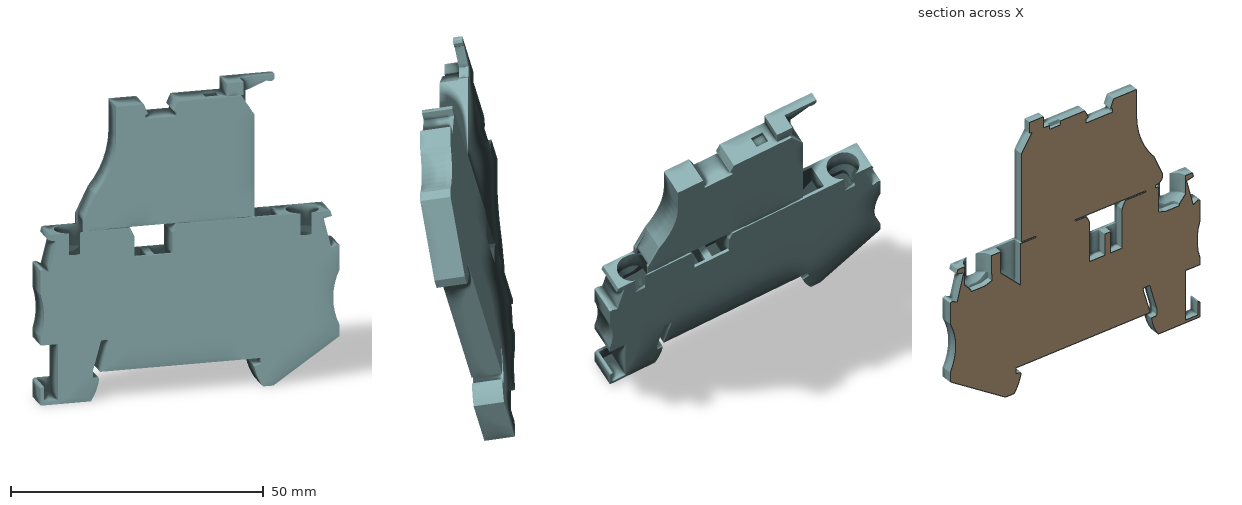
import cadquery as cq
HEIGHT = 63.4
HALF_LENGTH = 30.75
BODY_THICKNESS = 6.15
BODY_HALF = BODY_THICKNESS / 2
BODY_TOP = 35.3

LIP_Y = 29.15
LIP_TOP_Y = 28.85
RAIL_SEAT_Z = 5.95
SPRING_SLOT_TOP = 12.5
FOOT_TOP = 3.9
FOOT_LIP = 0.65
FOOT_BACK_Y = -27.2
FOOT_POCKET_DEPTH = 3.2
NOTCH_FRONT_Y = -11.5
NOTCH_BACK_Y = -3.6
NOTCH_FLOOR = 29.3
NOTCH_FLARE = 0.8
NOTCH_FLARE_Z = 33.5

POCKET_WALL = 0.6
POCKET_X_MIN = -BODY_HALF + POCKET_WALL
POCKET_X_MAX = BODY_HALF - POCKET_WALL
NOTCH_POCKET_DEPTH = 5.1
NOTCH_BACK_POCKET_LENGTH = 3.6
NOTCH_BRIDGE = 1.5
BACK_POCKET_Y_MIN = 13.5
BACK_POCKET_Y_MAX = 18.25
BACK_POCKET_WALL_DEPTH = 5.1

FUNNEL_Y = 23.8
FUNNEL_X = 0.25
FUNNEL_RADIUS = 2.9
FUNNEL_LENGTH = 6.6
FUNNEL_STRAIGHT = 4.45
FUNNEL_TAPER = 1.8
FUNNEL_TAPER_ANGLE = 40
THROAT_X_MIN = -1.85
THROAT_X_MAX = 1.9
THROAT_HALF_LENGTH = 1.7
THROAT_DEPTH = 6.6
THROAT_CORNER = 1.15
RAMP_RISE = 0.6
RAMP_RUN = 1.6

PLUG_X_MIN = -2.85
PLUG_X_MAX = 2.85
PLUG_TOP = 60.7
PLUG_BACK_Y = 13.25
PLUG_FRONT_Y = -22.0
PLUG_GAP = 0.2
BAR_X_MAX = 2.3
BAR_FRONT_Y = 7.75
BAR_BACK_Y = 11.2
FINGER_X_MAX = -0.95
FINGER_TIP_Y = 18.5
BACK_SLOPE_TOP_Y = 10.65
BACK_SLOPE_BOTTOM_Z = 56.65
BROW_Y = -19.4
BROW_Z = 42.9
CHEEK_Z = 37.6

RECESS_X_MIN = -2.0
RECESS_X_MAX = 2.3
NOSE_Y = -21.4
NOSE_Z = 38.15
NOSE_END_Y = -19.8
NOSE_END_Z = 35.9
CHEEK_CHAMFER = 0.25

WINDOW_X_MIN = -1.0
WINDOW_X_MAX = 1.25
WINDOW_Y_MIN = 3.6
WINDOW_Y_MAX = 6.3
WINDOW_DEPTH = 0.95


def box(x_min, x_max, y_min, y_max, z_min, z_max):
    """Axis-aligned block between the given limits."""
    size = (x_max - x_min, y_max - y_min, z_max - z_min)
    return cq.Workplane("XY").box(*size, centered=False).translate((x_min, y_min, z_min))


def side_sketch(x_min):
    """Sketch plane with local axes Y and Z that extrudes towards +X from x_min."""
    return cq.Workplane("YZ", origin=(x_min, 0, 0))


def side_prism(points, x_min, x_max):
    """Prism of a straight-sided Y-Z outline between two X positions."""
    return side_sketch(x_min).polyline(points).close().extrude(x_max - x_min)


def make_body():
    """Terminal body with its rail foot, marker grooves and bridge notch."""
    outline = (
        side_sketch(-BODY_HALF)
        .moveTo(NOTCH_BACK_Y + NOTCH_FLARE, BODY_TOP)
        .lineTo(LIP_TOP_Y, BODY_TOP)
        .lineTo(LIP_Y, 34.2)
        .lineTo(27.45, 33.85)
        .lineTo(29.0, 27.65)
        .lineTo(30.2, 28.2)
        .lineTo(HALF_LENGTH, 28.0)
        .lineTo(HALF_LENGTH, 23.0)
        .threePointArc((29.4, 17.2), (HALF_LENGTH, 11.4))
        .lineTo(HALF_LENGTH, 9.1)
        .lineTo(17.1, 0)
        .lineTo(14.95, 0)
        .threePointArc((13.75, 2.3), (13.2, 4.3))
        .lineTo(14.5, 4.75)
        .lineTo(14.5, RAIL_SEAT_Z)
        .lineTo(-18.5, RAIL_SEAT_Z)
        .lineTo(-16.75, 12.2)
        .lineTo(-17.0, SPRING_SLOT_TOP)
        .lineTo(-18.3, SPRING_SLOT_TOP)
        .lineTo(-20.0, 6.2)
        .lineTo(-20.0, 4.9)
        .lineTo(-19.8, 4.6)
        .lineTo(-18.7, 4.6)
        .threePointArc((-19.25, 2.3), (-20.4, 0))
        .lineTo(-HALF_LENGTH, 0)
        .lineTo(-HALF_LENGTH, FOOT_TOP - FOOT_LIP)
        .radiusArc((-HALF_LENGTH + FOOT_LIP, FOOT_TOP), FOOT_LIP)
        .lineTo(FOOT_BACK_Y, FOOT_TOP)
        .lineTo(FOOT_BACK_Y, SPRING_SLOT_TOP)
        .lineTo(-HALF_LENGTH, SPRING_SLOT_TOP)
        .lineTo(-HALF_LENGTH, 14.15)
        .threePointArc((-30.05, 18.6), (-HALF_LENGTH, 23.0))
        .lineTo(-HALF_LENGTH, 28.0)
        .lineTo(-30.2, 28.2)
        .lineTo(-29.0, 27.65)
        .lineTo(-27.45, 33.85)
        .lineTo(-LIP_Y, 34.2)
        .lineTo(-LIP_TOP_Y, BODY_TOP)
        .lineTo(NOTCH_FRONT_Y - NOTCH_FLARE, BODY_TOP)
        .lineTo(NOTCH_FRONT_Y, NOTCH_FLARE_Z)
        .lineTo(NOTCH_FRONT_Y, NOTCH_FLOOR)
        .lineTo(NOTCH_BACK_Y, NOTCH_FLOOR)
        .lineTo(NOTCH_BACK_Y, NOTCH_FLARE_Z)
        .close()
    )
    return outline.extrude(BODY_THICKNESS)


def make_funnel():
    """Cutter for the oblong funnel at the back end; its throat has a ramp on the inner side."""
    taper_top = BODY_TOP - FUNNEL_STRAIGHT
    mouth = cq.Sketch().slot(FUNNEL_LENGTH - 2 * FUNNEL_RADIUS, 2 * FUNNEL_RADIUS, 90)
    base = cq.Workplane("XY", origin=(FUNNEL_X, FUNNEL_Y, taper_top)).placeSketch(mouth)
    straight = base.extrude(FUNNEL_STRAIGHT)
    tapered = base.extrude(-FUNNEL_TAPER, taper=FUNNEL_TAPER_ANGLE)
    funnel = straight.union(tapered)

    floor = BODY_TOP - THROAT_DEPTH
    inner_y = FUNNEL_Y - THROAT_HALF_LENGTH
    outer_y = FUNNEL_Y + THROAT_HALF_LENGTH
    throat = box(THROAT_X_MIN, THROAT_X_MAX, inner_y, outer_y, floor, taper_top)
    throat = throat.edges("|Z and >Y").fillet(THROAT_CORNER)
    ramp = [
        (inner_y, floor),
        (inner_y - RAMP_RUN, floor + RAMP_RISE),
        (inner_y - RAMP_RUN, taper_top),
        (inner_y, taper_top),
    ]
    return funnel.union(throat).union(side_prism(ramp, THROAT_X_MIN, THROAT_X_MAX))


def make_back_pocket():
    """Cutter for the pocket behind the plug; a 45 degree ramp closes its bottom."""
    ramp_top = BODY_TOP - BACK_POCKET_WALL_DEPTH
    ramp_drop = BACK_POCKET_Y_MAX - BACK_POCKET_Y_MIN
    outline = [
        (BACK_POCKET_Y_MIN, BODY_TOP),
        (BACK_POCKET_Y_MAX, BODY_TOP),
        (BACK_POCKET_Y_MAX, ramp_top),
        (BACK_POCKET_Y_MIN, ramp_top - ramp_drop),
    ]
    return side_prism(outline, POCKET_X_MIN, POCKET_X_MAX)


def make_notch_pockets():
    """Cutters for the two pockets in the notch floor, parted by a bridge."""
    back_end = NOTCH_BACK_Y - NOTCH_BACK_POCKET_LENGTH
    pockets = cq.Workplane("XY")
    for y_min, y_max in ((back_end, NOTCH_BACK_Y), (NOTCH_FRONT_Y, back_end - NOTCH_BRIDGE)):
        pockets = pockets.add(
            box(
                POCKET_X_MIN, POCKET_X_MAX,
                y_min, y_max,
                NOTCH_FLOOR - NOTCH_POCKET_DEPTH, NOTCH_FLOOR,
            )
        )
    return pockets.combine()


def make_foot_pocket():
    """Cutter for the pocket behind the foot lip, closed on the -X side and open on the +X side."""
    return box(
        POCKET_X_MIN, BODY_HALF,
        -HALF_LENGTH + FOOT_LIP, FOOT_BACK_Y,
        FOOT_TOP - FOOT_POCKET_DEPTH, FOOT_TOP,
    )


def make_plug():
    """Plug standing on the body, with its release finger and marker groove."""
    outline = (
        side_sketch(PLUG_X_MIN)
        .moveTo(PLUG_BACK_Y, BODY_TOP)
        .lineTo(PLUG_BACK_Y, 57.0)
        .lineTo(12.55, 57.85)
        .lineTo(12.55, 60.6)
        .lineTo(13.25, 60.8)
        .lineTo(16.9, 62.25)
        .lineTo(17.2, 62.05)
        .lineTo(18.05, 62.05)
        .lineTo(FINGER_TIP_Y, 62.5)
        .lineTo(FINGER_TIP_Y, HEIGHT)
        .lineTo(BAR_FRONT_Y, HEIGHT)
        .lineTo(BAR_FRONT_Y, PLUG_TOP)
        .lineTo(-2.4, PLUG_TOP)
        .lineTo(-3.3, 58.75)
        .lineTo(-2.7, 58.5)
        .lineTo(-2.7, 57.7)
        .lineTo(-9.1, 57.7)
        .lineTo(-9.1, 58.5)
        .lineTo(-8.6, 58.7)
        .lineTo(-9.45, PLUG_TOP)
        .lineTo(-15.15, PLUG_TOP)
        .lineTo(-15.15, 54.1)
        .threePointArc((-16.4, 47.85), (BROW_Y, BROW_Z))
        .lineTo(PLUG_FRONT_Y, CHEEK_Z)
        .lineTo(PLUG_FRONT_Y, BODY_TOP)
        .close()
    )
    return outline.extrude(PLUG_X_MAX - PLUG_X_MIN)


def make_bar_trim():
    """Cutters that leave a narrow finger behind a wider bar, above a sloping shoulder."""
    beside_bar = box(BAR_X_MAX, PLUG_X_MAX, BAR_FRONT_Y, FINGER_TIP_Y, PLUG_TOP, HEIGHT)
    beside_finger = box(FINGER_X_MAX, PLUG_X_MAX, BAR_BACK_Y, FINGER_TIP_Y, PLUG_TOP, HEIGHT)
    shoulder = [
        (BACK_SLOPE_TOP_Y, PLUG_TOP),
        (PLUG_BACK_Y, BACK_SLOPE_BOTTOM_Z),
        (FINGER_TIP_Y, BACK_SLOPE_BOTTOM_Z),
        (FINGER_TIP_Y, PLUG_TOP),
    ]
    return beside_bar.union(beside_finger).union(side_prism(shoulder, FINGER_X_MAX, PLUG_X_MAX))


def make_front_recess():
    """Cutter for the recessed front of the plug, rounded under above the funnel."""
    outline = (
        side_sketch(RECESS_X_MIN)
        .moveTo(BROW_Y, BROW_Z)
        .lineTo(NOSE_Y, NOSE_Z)
        .tangentArcPoint((NOSE_END_Y, NOSE_END_Z), relative=False)
        .lineTo(NOSE_END_Y, BODY_TOP)
        .lineTo(PLUG_FRONT_Y, BODY_TOP)
        .lineTo(PLUG_FRONT_Y, CHEEK_Z)
        .close()
    )
    recess = outline.extrude(RECESS_X_MAX - RECESS_X_MIN)
    flare = [
        (RECESS_X_MIN - CHEEK_CHAMFER, PLUG_FRONT_Y),
        (RECESS_X_MAX + CHEEK_CHAMFER, PLUG_FRONT_Y),
        (RECESS_X_MAX, PLUG_FRONT_Y + CHEEK_CHAMFER),
        (RECESS_X_MIN, PLUG_FRONT_Y + CHEEK_CHAMFER),
    ]
    mouth = cq.Workplane("XY", origin=(0, 0, BODY_TOP)).polyline(flare).close()
    return recess.union(mouth.extrude(CHEEK_Z - BODY_TOP))


def make_gaps():
    """Cutters for the thin clearances between the feet of the plug."""
    gaps = cq.Workplane("XY")
    for y_min, y_max in ((9.65, PLUG_BACK_Y), (-17.3, 0.0)):
        gaps = gaps.add(box(PLUG_X_MIN, PLUG_X_MAX, y_min, y_max, BODY_TOP, BODY_TOP + PLUG_GAP))
    return gaps.combine()


back_funnel = make_funnel()
front_funnel = back_funnel.mirror("XZ")
body = make_body().cut(back_funnel).cut(front_funnel)
body = body.cut(make_back_pocket()).cut(make_notch_pockets()).cut(make_foot_pocket())

window = box(
    WINDOW_X_MIN, WINDOW_X_MAX, WINDOW_Y_MIN, WINDOW_Y_MAX, PLUG_TOP - WINDOW_DEPTH, PLUG_TOP
)
plug = make_plug().cut(make_bar_trim()).cut(make_front_recess()).cut(window).cut(make_gaps())

result = body.union(plug)